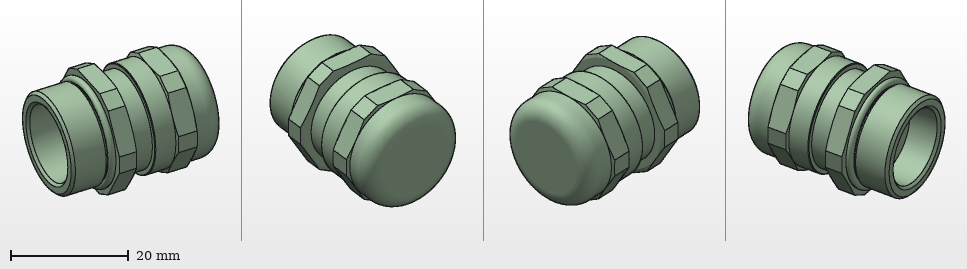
import cadquery as cq
import math


length = 29.0
flange_start = 8.0
flange_end = 11.5
collar_start = 15.5
cap_hex_start = 19.5
cap_hex_end = 23.45

thread_diameter = 18.6
thread_start = 6.45
thread_chamfer = 0.52
groove_diameter = 17.57
bore_diameter = 14.06
bore_depth = 6.0
bore_chamfer = 0.5

ring_outer_diameter = 20.18
ring_section_radius = 0.7
ring_center_y = 7.5

neck_diameter = 18.0
cap_diameter = 19.95
cap_round = 3.0
collar_chamfer = 0.15

flange_across_flats = 21.0
flange_across_trims = 22.25
cap_across_flats = 20.0
cap_across_trims = 21.17
hex_chamfer_angle = 15.0


def y_plane(y):
    """Sketch plane across the part axis, facing +Y."""
    return cq.Plane(origin=(0, y, 0), xDir=(1, 0, 0), normal=(0, 1, 0))


def cylinder(diameter, start, end):
    """Solid cylinder on the Y axis from start to end."""
    return cq.Workplane(y_plane(start)).circle(diameter / 2).extrude(end - start)


def turned(profile):
    """Solid of revolution about Y from a closed list of (radius, y) points."""
    return cq.Workplane("XY").polyline(profile).close().revolve(360, (0, 0, 0), (0, 1, 0))


def hexagon(across_flats, turn, start, end):
    """Sharp hexagonal prism, turned about Y by the given angle; at zero a flat faces +Z."""
    corner_diameter = across_flats / math.cos(math.radians(30))
    sketch = cq.Workplane(y_plane(start)).transformed(rotate=(0, 0, turn))
    return sketch.polygon(6, corner_diameter).extrude(end - start)


def gland_hex(across_flats, across_trims, start, end, chamfer_start):
    """Corner-trimmed hexagon with a shallow cone on its +Y end, and on its -Y end if asked."""
    flat_radius = across_flats / 2
    outer_radius = across_trims / math.sqrt(3)
    drop = (outer_radius - flat_radius) * math.tan(math.radians(hex_chamfer_angle))
    start_radius = flat_radius if chamfer_start else outer_radius
    envelope = turned([
        (0, start),
        (start_radius, start),
        (outer_radius, start + drop),
        (outer_radius, end - drop),
        (flat_radius, end),
        (0, end),
    ])
    main_flats = hexagon(across_flats, 0, start, end)
    corner_trims = hexagon(across_trims, 30, start, end)
    return main_flats.intersect(corner_trims).intersect(envelope)


def threaded_end():
    """Plain thread cylinder with 45 degree ends and the ring groove next to the flange."""
    thread_radius = thread_diameter / 2
    groove_radius = groove_diameter / 2
    return turned([
        (0, 0),
        (thread_radius - thread_chamfer, 0),
        (thread_radius, thread_chamfer),
        (thread_radius, thread_start),
        (groove_radius, thread_start + thread_radius - groove_radius),
        (groove_radius, flange_start),
        (0, flange_start),
    ])


def sealing_ring():
    """O-ring between the thread and the flange."""
    center_radius = ring_outer_diameter / 2 - ring_section_radius
    section = cq.Workplane("XY").center(-center_radius, ring_center_y).circle(ring_section_radius)
    return section.revolve(360, (center_radius, 0, 0), (center_radius, 1, 0))


def cap():
    """Round cap with a domed end, a chamfered collar edge and a wrench hexagon."""
    shell = cylinder(cap_diameter, collar_start, length)
    shell = shell.faces(">Y").edges().fillet(cap_round)
    shell = shell.faces("<Y").edges().chamfer(collar_chamfer)
    wrench_hex = gland_hex(cap_across_flats, cap_across_trims, cap_hex_start, cap_hex_end, True)
    return shell.union(wrench_hex)


def bore():
    """Blind flat-bottomed bore with a 45 degree mouth."""
    bore_radius = bore_diameter / 2
    return turned([
        (0, 0),
        (bore_radius + bore_chamfer, 0),
        (bore_radius, bore_chamfer),
        (bore_radius, bore_depth),
        (0, bore_depth),
    ])


flange = gland_hex(flange_across_flats, flange_across_trims, flange_start, flange_end, False)
neck = cylinder(neck_diameter, flange_end, collar_start)

result = (
    threaded_end()
    .union(sealing_ring())
    .union(flange)
    .union(neck)
    .union(cap())
    .cut(bore())
)